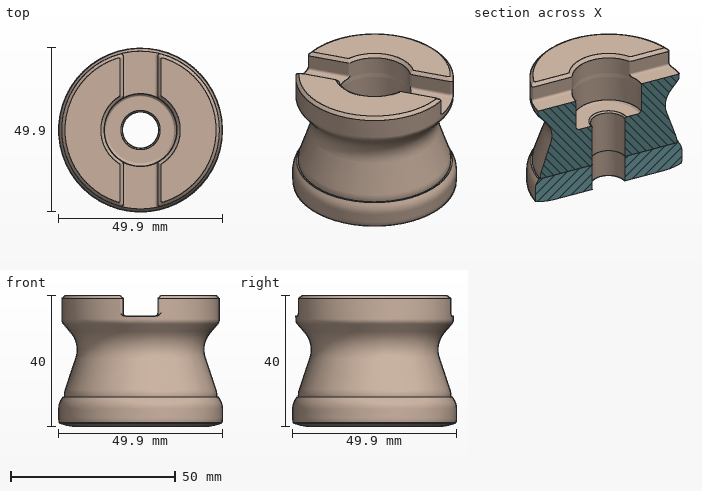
import cadquery as cq
import math

base_radius = 24.95
base_height = 9.05
base_side_low_z = 2.5
base_side_high_z = 5.55
base_shoulder_arc = 5.0
base_shoulder_angle = 30.0
base_tuck_arc = 5.0
base_tuck_height = 1.25
base_corner = 0.25
underside_flat_radius = 18.7
underside_arc = 16.95

knob_height = 30.95
knob_top_z = base_height + knob_height
head_radius = 24.0
head_fillet = 2.0
waist_radius = 19.3
waist_z = 23.45
waist_arc = 8.0
upper_cone_angle = 40.5
lower_cone_angle = 18.4
belly_radius = 23.25
belly_arc = 5.0
edge_chamfer = 1.0

mouth_radius = 11.105
bore_radius = 11.005
mouth_low_z = 33.45
bore_high_z = 32.15
pocket_floor_z = 23.15
pocket_floor_radius = 10.15
pocket_floor_fillet = 0.4
pocket_cone_angle = 45.0
slot_width = 10.5
slot_depth = 6.3
slot_floor_z = knob_top_z - slot_depth
slot_floor_fillet = 0.9
slot_corner_fillet = 0.75
select_margin = 0.05
plate_size = 59.9

hole_radius = 5.5
hole_chamfer = 0.5


def on_arc(center, radius, angle):
    """Point (radius, height) on a profile arc, angle in degrees up from the outward direction."""
    turn = math.radians(angle)
    return (center[0] + radius * math.cos(turn), center[1] + radius * math.sin(turn))


def up_cone(start, angle, end_radius):
    """Height reached by a cone that leans by an angle from vertical, at a given radius."""
    return start[1] + (end_radius - start[0]) / math.tan(math.radians(angle))


def make_base():
    shoulder_center = (base_radius - base_shoulder_arc, base_side_high_z)
    shoulder_mid = on_arc(shoulder_center, base_shoulder_arc, base_shoulder_angle / 2)
    shoulder_end = on_arc(shoulder_center, base_shoulder_arc, base_shoulder_angle)
    lean = math.tan(math.radians(base_shoulder_angle))
    lip_radius = shoulder_end[0] - (base_height - shoulder_end[1]) * lean

    tuck_center = (base_radius - base_tuck_arc, base_side_low_z)
    tuck_angle = math.degrees(math.asin((base_side_low_z - base_tuck_height) / base_tuck_arc))
    tuck_mid = on_arc(tuck_center, base_tuck_arc, -tuck_angle / 2)
    tuck_end = on_arc(tuck_center, base_tuck_arc, -tuck_angle)

    underside_center = (underside_flat_radius, underside_arc)
    underside_end_radius = tuck_end[0] - base_corner
    sweep = math.degrees(math.asin((underside_end_radius - underside_flat_radius) / underside_arc))
    underside_mid = on_arc(underside_center, underside_arc, sweep / 2 - 90)
    underside_end = on_arc(underside_center, underside_arc, sweep - 90)

    profile = (
        cq.Workplane("XZ")
        .moveTo(hole_radius, 0)
        .lineTo(underside_flat_radius, 0)
        .threePointArc(underside_mid, underside_end)
        .lineTo(*tuck_end)
        .threePointArc(tuck_mid, (base_radius, base_side_low_z))
        .lineTo(base_radius, base_side_high_z)
        .threePointArc(shoulder_mid, shoulder_end)
        .lineTo(lip_radius, base_height)
        .lineTo(hole_radius, base_height)
        .close()
    )
    return profile.revolve(360, (0, 0, 0), (0, 1, 0))


def make_knob_blank():
    """Solid of revolution with the waisted outside of the knob."""
    waist_center = (waist_radius + waist_arc, waist_z)
    waist_low = on_arc(waist_center, waist_arc, 180 + lower_cone_angle)
    waist_mid = (waist_radius, waist_z)
    waist_high = on_arc(waist_center, waist_arc, 180 - upper_cone_angle)

    belly_center_radius = belly_radius - belly_arc
    belly_high_radius = on_arc((belly_center_radius, 0), belly_arc, lower_cone_angle)[0]
    belly_high = (belly_high_radius, up_cone(waist_low, -lower_cone_angle, belly_high_radius))
    belly_center_z = belly_high[1] - belly_arc * math.sin(math.radians(lower_cone_angle))
    belly_center = (belly_center_radius, belly_center_z)
    belly_low_angle = -math.degrees(math.asin((belly_center_z - base_height) / belly_arc))
    belly_mid = on_arc(belly_center, belly_arc, 0)
    belly_low = on_arc(belly_center, belly_arc, belly_low_angle)

    head_center_radius = head_radius - head_fillet
    head_low_radius = on_arc((head_center_radius, 0), head_fillet, -upper_cone_angle)[0]
    head_low = (head_low_radius, up_cone(waist_high, upper_cone_angle, head_low_radius))
    head_center_z = head_low[1] + head_fillet * math.sin(math.radians(upper_cone_angle))
    head_center = (head_center_radius, head_center_z)
    head_mid = on_arc(head_center, head_fillet, -upper_cone_angle / 2)

    profile = (
        cq.Workplane("XZ")
        .moveTo(0, base_height)
        .lineTo(*belly_low)
        .threePointArc(belly_mid, belly_high)
        .lineTo(*waist_low)
        .threePointArc(waist_mid, waist_high)
        .lineTo(*head_low)
        .threePointArc(head_mid, (head_radius, head_center_z))
        .lineTo(head_radius, knob_top_z)
        .lineTo(0, knob_top_z)
        .close()
    )
    return profile.revolve(360, (0, 0, 0), (0, 1, 0))


def make_pocket():
    """Round pocket with the screw hole below it, as one cutting solid."""
    fillet_center = (pocket_floor_radius, pocket_floor_z + pocket_floor_fillet)
    fillet_mid = on_arc(fillet_center, pocket_floor_fillet, pocket_cone_angle / 2 - 90)
    fillet_end = on_arc(fillet_center, pocket_floor_fillet, pocket_cone_angle - 90)
    bore_low_z = up_cone(fillet_end, pocket_cone_angle, bore_radius)

    profile = (
        cq.Workplane("XZ")
        .moveTo(0, base_height)
        .lineTo(hole_radius, base_height)
        .lineTo(hole_radius, pocket_floor_z - hole_chamfer)
        .lineTo(hole_radius + hole_chamfer, pocket_floor_z)
        .lineTo(pocket_floor_radius, pocket_floor_z)
        .threePointArc(fillet_mid, fillet_end)
        .lineTo(bore_radius, bore_low_z)
        .lineTo(bore_radius, bore_high_z)
        .lineTo(mouth_radius, mouth_low_z)
        .lineTo(mouth_radius, knob_top_z)
        .lineTo(0, knob_top_z)
        .close()
    )
    return profile.revolve(360, (0, 0, 0), (0, 1, 0))


def is_slot_corner(edge):
    """True for the upright slot corners and the chamfer corners that continue them upward."""
    rises = abs(edge.startPoint().z - edge.endPoint().z) > edge_chamfer / 2
    return rises and abs(edge.Center().x) < slot_width / 2 + edge_chamfer


def make_head_top():
    """The two raised lobes beside the slot, flared at their foot into an oversize plate."""
    slot = cq.Workplane("XY", origin=(0, 0, slot_floor_z)).rect(slot_width, plate_size).extrude(slot_depth)
    lobes = (
        cq.Workplane("XY", origin=(0, 0, slot_floor_z))
        .circle(head_radius)
        .circle(mouth_radius)
        .extrude(slot_depth)
        .cut(slot)
    )
    lobes = lobes.faces(">Z").edges().chamfer(edge_chamfer)
    corners = [edge for edge in lobes.edges().vals() if is_slot_corner(edge)]
    lobes = lobes.newObject(corners).fillet(slot_corner_fillet)

    plate = (
        cq.Workplane("XY", origin=(0, 0, base_height))
        .rect(plate_size, plate_size)
        .extrude(slot_floor_z - base_height)
    )
    head_top = plate.union(lobes)
    foot_edges = cq.selectors.BoxSelector(
        (-base_radius, -base_radius, slot_floor_z - select_margin),
        (base_radius, base_radius, slot_floor_z + select_margin),
    )
    return head_top.edges(foot_edges).fillet(slot_floor_fillet)


def make_knob():
    return make_knob_blank().cut(make_pocket()).intersect(make_head_top())


base = make_base()
knob = make_knob()
result = cq.Compound.makeCompound([base.val(), knob.val()])